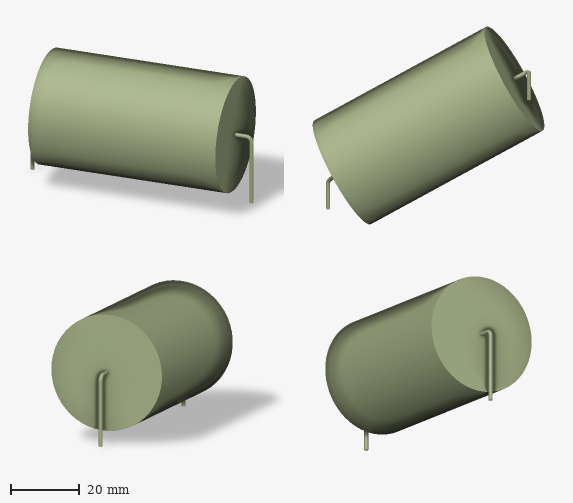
import cadquery as cq

lead_span = 69.2
body_length = 58.1
body_diameter = 34.5
sleeve_wall = 0.5
lead_diameter = 1.2
bend_radius = 1.7
overall_height = 38.3

half_body = body_length / 2
core_diameter = body_diameter - 2 * sleeve_wall
leg_drop = overall_height - body_diameter / 2
leg_x = (lead_span - lead_diameter) / 2


def cylinder_along_x(diameter):
    """Cylinder as long as the body, centred on the origin."""
    return cq.Workplane("YZ", origin=(-half_body, 0, 0)).circle(diameter / 2).extrude(body_length)


def make_sleeve():
    """Thin tube, open at both ends."""
    return cylinder_along_x(body_diameter).cut(cylinder_along_x(core_diameter))


def make_core():
    """Solid filling of the sleeve, flush with its ends."""
    return cylinder_along_x(core_diameter)


def make_lead(side):
    """Round wire that leaves an end face and bends down; side is -1 or +1 along X."""
    path = (
        cq.Workplane("XZ")
        .moveTo(side * half_body, 0)
        .lineTo(side * (leg_x - bend_radius), 0)
        .tangentArcPoint((side * leg_x, -bend_radius), relative=False)
        .lineTo(side * leg_x, -leg_drop)
    )
    section = cq.Workplane("YZ", origin=(side * half_body, 0, 0)).circle(lead_diameter / 2)
    return section.sweep(path)


sleeve = make_sleeve()
core = make_core()
leads = [make_lead(side) for side in (-1, 1)]

result = cq.Compound.makeCompound([sleeve.val(), core.val(), *[lead.val() for lead in leads]])